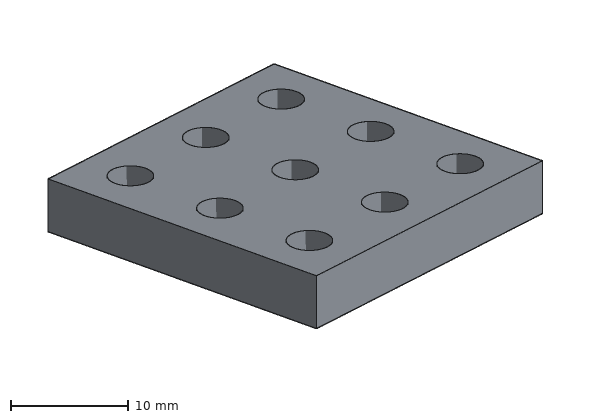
import cadquery as cq

plate_side = 30.0
plate_thickness = 5.0
holes_per_side = 3
hole_pitch = plate_side / holes_per_side
hole_diameter = 4.0

plate = cq.Workplane("XY").box(plate_side, plate_side, plate_thickness)

result = (
    plate.faces(">Z")
    .workplane()
    .rarray(hole_pitch, hole_pitch, holes_per_side, holes_per_side)
    .hole(hole_diameter)
)